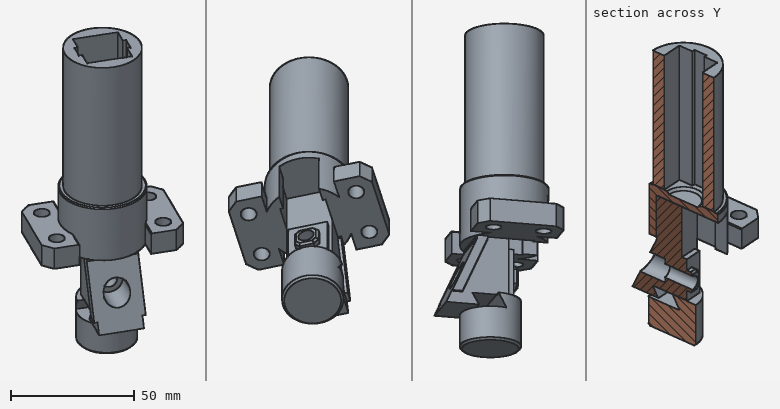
import cadquery as cq
import math

TOTAL_HEIGHT = 134.0
TOTAL_LENGTH = 44.9
HOLDER_TOP = 69.0
HOLDER_BOTTOM = 44.4

TUBE_DIAMETER = 32.0
SOCKET_LENGTH = 20.0
SOCKET_WIDTH = 19.0
KEYWAY_WIDTH = 6.3
KEYWAY_SPAN = 21.8

COLLAR_DIAMETER = 36.0
COLLAR_CHAMFER = 0.5
SEAT_TOP_DIAMETER = 17.0
SEAT_FLOOR_DIAMETER = 14.9
SEAT_DEPTH = 1.2
LUG_SPAN = 60.0
LUG_GAP = 30.3
LUG_HEIGHT = 9.6
LUG_CORNER = 4.2
LUG_EDGE_CHAMFER = 0.4
LUG_HOLE_DIAMETER = 6.4
LUG_HOLE_SPACING_X = 21.0
LUG_HOLE_SPACING_Y = 45.0
POCKET_TOP = 64.5
POCKET_START = -9.9
ENTRY_SLOT_WIDTH = 16.6

ARM_START = 0.7
ARM_WIDTH = 19.0
ARM_OUTER = 14.2
ARM_TIP = TOTAL_LENGTH - COLLAR_DIAMETER / 2
ARM_BEND_HEIGHT = 43.1
FLANGE_WIDTH = 21.8
FLANGE_THICKNESS = 4.4
HOOK_BOTTOM = 15.3
HOOK_START = 13.1
PAD_WIDTH = 16.2
PAD_THICKNESS = 2.5
PAD_TOP = 40.3
BOSS_SIZE = 10.0
BOSS_LENGTH = 3.0
BOSS_CORNER = 2.0
BOSS_BEVEL = 1.0
BORE_HEIGHT = 30.0
BORE_DIAMETER = 6.4
COUNTERBORE_DIAMETER = 11.3

PLUG_DIAMETER = 24.9
PLUG_CENTER_X = 5.9
PLUG_TOP = 20.1
PLUG_CHAMFER = 1.0
CATCH_FLOOR = 14.1
CATCH_START = 2.3

HOOK_LEAN = math.radians(30)


def centered_box(x_start, x_end, width, z_start, z_end):
    """Box between two X and two Z positions, centred on Y = 0."""
    return (
        cq.Workplane("XY", origin=((x_start + x_end) / 2, 0, z_start))
        .rect(x_end - x_start, width)
        .extrude(z_end - z_start)
    )


def centered_profile(points, width):
    """Closed XZ outline extruded symmetrically about Y = 0."""
    return cq.Workplane("XZ").polyline(points).close().extrude(width / 2, both=True)


def make_tube():
    height = TOTAL_HEIGHT - HOLDER_TOP
    base = cq.Workplane("XY", origin=(0, 0, HOLDER_TOP))
    tube = base.circle(TUBE_DIAMETER / 2).extrude(height)
    socket = base.rect(SOCKET_LENGTH, SOCKET_WIDTH).extrude(height)
    keyways = base.rect(KEYWAY_WIDTH, KEYWAY_SPAN).extrude(height)
    return tube.cut(socket).cut(keyways)


def make_lugs():
    """Both mounting lugs, with clipped outer corners and a chamfered upper inner edge."""
    lug_top = HOLDER_BOTTOM + LUG_HEIGHT
    lugs = (
        cq.Workplane("XY", origin=(0, 0, HOLDER_BOTTOM))
        .rect(COLLAR_DIAMETER, LUG_SPAN)
        .extrude(LUG_HEIGHT)
        .edges("|Z")
        .chamfer(LUG_CORNER)
    )
    half_gap = LUG_GAP / 2
    gap = (
        cq.Workplane("YZ")
        .moveTo(-half_gap, HOLDER_BOTTOM)
        .lineTo(half_gap, HOLDER_BOTTOM)
        .lineTo(half_gap, lug_top - LUG_EDGE_CHAMFER)
        .lineTo(half_gap + LUG_EDGE_CHAMFER, lug_top)
        .lineTo(-half_gap - LUG_EDGE_CHAMFER, lug_top)
        .lineTo(-half_gap, lug_top - LUG_EDGE_CHAMFER)
        .close()
        .extrude(COLLAR_DIAMETER / 2, both=True)
    )
    holes = (
        cq.Workplane("XY", origin=(0, 0, HOLDER_BOTTOM))
        .rarray(LUG_HOLE_SPACING_X, LUG_HOLE_SPACING_Y, 2, 2)
        .circle(LUG_HOLE_DIAMETER / 2)
        .extrude(LUG_HEIGHT)
    )
    return lugs.cut(gap).cut(holes)


def make_holder():
    collar = (
        cq.Workplane("XY", origin=(0, 0, HOLDER_BOTTOM))
        .circle(COLLAR_DIAMETER / 2)
        .extrude(HOLDER_TOP - HOLDER_BOTTOM)
        .faces(">Z")
        .edges()
        .chamfer(COLLAR_CHAMFER)
    )
    seat = (
        cq.Workplane("XY", origin=(0, 0, HOLDER_TOP))
        .circle(SEAT_TOP_DIAMETER / 2)
        .workplane(offset=-SEAT_DEPTH)
        .circle(SEAT_FLOOR_DIAMETER / 2)
        .loft()
    )
    pocket = centered_box(POCKET_START, ARM_OUTER, ARM_WIDTH, HOLDER_BOTTOM, POCKET_TOP)
    entry_slot = centered_box(
        -COLLAR_DIAMETER, POCKET_START, ENTRY_SLOT_WIDTH, HOLDER_BOTTOM, POCKET_TOP
    )
    return collar.union(make_lugs()).cut(seat).cut(pocket).cut(entry_slot)


def make_latch():
    slope = (ARM_TIP - ARM_OUTER) / (ARM_BEND_HEIGHT - HOOK_BOTTOM)
    flange_inner_x = ARM_OUTER - FLANGE_THICKNESS
    foot_x = ARM_OUTER + slope * (ARM_BEND_HEIGHT - PLUG_TOP)
    hook_top_x = HOOK_START + (PLUG_TOP - HOOK_BOTTOM) * math.tan(HOOK_LEAN)

    arm = centered_profile(
        [
            (ARM_START, POCKET_TOP),
            (ARM_OUTER, POCKET_TOP),
            (ARM_OUTER, ARM_BEND_HEIGHT),
            (ARM_TIP, HOOK_BOTTOM),
            (HOOK_START, HOOK_BOTTOM),
            (hook_top_x, PLUG_TOP),
            (ARM_START, PLUG_TOP),
        ],
        ARM_WIDTH,
    )
    flange = centered_profile(
        [
            (flange_inner_x, HOLDER_BOTTOM),
            (ARM_OUTER, HOLDER_BOTTOM),
            (ARM_OUTER, ARM_BEND_HEIGHT),
            (foot_x, PLUG_TOP),
            (foot_x - FLANGE_THICKNESS, PLUG_TOP),
            (flange_inner_x, ARM_BEND_HEIGHT),
        ],
        FLANGE_WIDTH,
    )
    pad_start = ARM_START - PAD_THICKNESS
    pad = centered_box(pad_start, ARM_START, PAD_WIDTH, PLUG_TOP, PAD_TOP)
    boss = (
        cq.Workplane("YZ", origin=(pad_start, 0, BORE_HEIGHT))
        .rect(BOSS_SIZE, BOSS_SIZE)
        .extrude(-BOSS_LENGTH)
        .edges("|X")
        .chamfer(BOSS_CORNER)
        .faces("<X")
        .edges()
        .chamfer(BOSS_BEVEL)
    )
    bore = (
        cq.Workplane("YZ", origin=(pad_start - BOSS_LENGTH, 0, BORE_HEIGHT))
        .circle(BORE_DIAMETER / 2)
        .extrude(TOTAL_LENGTH)
    )
    counterbore = (
        cq.Workplane("YZ", origin=(flange_inner_x, 0, BORE_HEIGHT))
        .circle(COUNTERBORE_DIAMETER / 2)
        .extrude(TOTAL_LENGTH)
    )
    return arm.union(flange).union(pad).union(boss).cut(bore).cut(counterbore)


def make_plug():
    plug = (
        cq.Workplane("XY", origin=(PLUG_CENTER_X, 0, 0))
        .circle(PLUG_DIAMETER / 2)
        .extrude(PLUG_TOP)
        .faces("<Z")
        .edges()
        .chamfer(PLUG_CHAMFER)
    )
    catch_top_x = CATCH_START + (PLUG_TOP - CATCH_FLOOR) * math.tan(HOOK_LEAN)
    plug_end = PLUG_CENTER_X + PLUG_DIAMETER
    catch = centered_profile(
        [
            (CATCH_START, CATCH_FLOOR),
            (plug_end, CATCH_FLOOR),
            (plug_end, PLUG_TOP),
            (catch_top_x, PLUG_TOP),
        ],
        2 * PLUG_DIAMETER,
    )
    return plug.cut(catch)


tube = make_tube()
holder = make_holder()
latch = make_latch()
plug = make_plug()

result = cq.Compound.makeCompound([tube.val(), holder.val(), latch.val(), plug.val()])